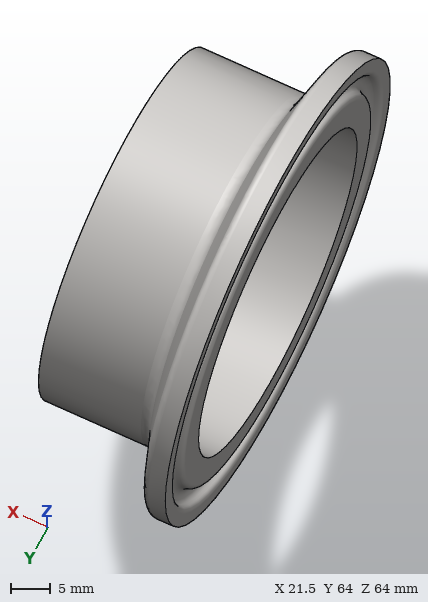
import cadquery as cq
import math

length = 21.5
flange_radius = 32.0
tube_radius = 24.2
bore_radius = 22.5

cone_angle = math.radians(20)
rim_corner_x = 3.0
rim_round_radius = 1.0
neck_fillet_radius = 1.9

groove_center_radius = 28.2
groove_width = 3.9
groove_floor_radius = 1.15
groove_lip_radius = 0.8
groove_wall_angle = math.radians(70)



def ring(profile):
    """Revolve a profile drawn as (X, radius) about the X axis."""
    return profile.close().revolve(360, (0, 0, 0), (1, 0, 0))


def rounded_edge(body, x, radius, round_radius):
    """Round the circular edge centred on the X axis at the given X and radius."""
    margin = 0.005
    edge = cq.selectors.BoxSelector(
        (x - margin, -radius - margin, -radius - margin),
        (x + margin, radius + margin, radius + margin),
        boundingbox=True,
    )
    return body.edges(edge).edges("%CIRCLE").fillet(round_radius)


def make_body():
    neck_corner_x = rim_corner_x + (flange_radius - tube_radius) * math.tan(cone_angle)
    body = ring(
        cq.Workplane("XY")
        .moveTo(0, bore_radius)
        .lineTo(0, flange_radius)
        .lineTo(rim_corner_x, flange_radius)
        .lineTo(neck_corner_x, tube_radius)
        .lineTo(length, tube_radius)
        .lineTo(length, bore_radius)
    )
    body = rounded_edge(body, rim_corner_x, flange_radius, rim_round_radius)
    return rounded_edge(body, neck_corner_x, tube_radius, neck_fillet_radius)


def make_groove():
    """Groove with a round floor, sloping walls and rounded lips, all tangent."""
    sine = math.sin(groove_wall_angle)
    cosine = math.cos(groove_wall_angle)
    half_sine = math.sin(groove_wall_angle / 2)
    half_cosine = math.cos(groove_wall_angle / 2)

    edge_offset = groove_width / 2
    lip_middle_offset = edge_offset - groove_lip_radius * half_sine
    lip_end_offset = edge_offset - groove_lip_radius * sine
    floor_offset = groove_floor_radius * sine

    lip_middle_depth = groove_lip_radius * (1 - half_cosine)
    lip_end_depth = groove_lip_radius * (1 - cosine)
    floor_start_depth = lip_end_depth + (lip_end_offset - floor_offset) * math.tan(groove_wall_angle)
    groove_depth = floor_start_depth + groove_floor_radius * (1 - cosine)

    def point(depth, offset):
        return (depth, groove_center_radius + offset)

    return ring(
        cq.Workplane("XY")
        .moveTo(*point(0, -edge_offset))
        .threePointArc(point(lip_middle_depth, -lip_middle_offset), point(lip_end_depth, -lip_end_offset))
        .lineTo(*point(floor_start_depth, -floor_offset))
        .threePointArc(point(groove_depth, 0), point(floor_start_depth, floor_offset))
        .lineTo(*point(lip_end_depth, lip_end_offset))
        .threePointArc(point(lip_middle_depth, lip_middle_offset), point(0, edge_offset))
    )


result = make_body().cut(make_groove())